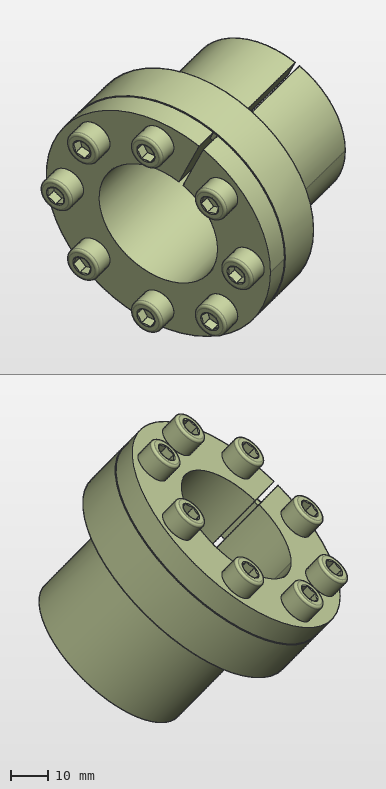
import cadquery as cq
import math

bore_diameter = 38.0
tube_diameter = 50.0
flange_diameter = 72.0
flange_thickness = 7.0
collar_thickness = 14.0
tube_length = 31.5

collar_chamfer = 0.2

slit_width = 1.44
slit_angle = 67.5
collar_rim_thickness = 3.0

screw_count = 8
screw_circle_diameter = 58.0
head_diameter = 10.0
head_height = 6.0
head_fillet = 0.8
socket_across_flats = 5.0
socket_depth = 3.0
socket_mouth_diameter = 5.8
lead_in_angle = 60.0

collar_rear = flange_thickness + collar_thickness
bush_length = collar_rear + tube_length
slit_reach_in_collar = flange_diameter / 2 - collar_rim_thickness


def ring(outer_diameter, inner_diameter, start, length):
    """Ring about the Y axis, from Y = start towards +Y."""
    plane = cq.Workplane("XZ", origin=(0, start, 0))
    return plane.circle(outer_diameter / 2).circle(inner_diameter / 2).extrude(-length)


def slit_cutter(reach, start, length):
    """Radial slab from the axis out to the given reach, at the slit angle."""
    slab = cq.Workplane("XY").box(reach, length, slit_width, centered=(False, False, True))
    return slab.translate((0, start, 0)).rotate((0, 0, 0), (0, 1, 0), -slit_angle)


def make_bush():
    collar = ring(flange_diameter, bore_diameter, flange_thickness, collar_thickness)
    outer_edges = cq.selectors.RadiusNthSelector(-1)
    collar = collar.faces("<Y or >Y").edges(outer_edges).chamfer(collar_chamfer)

    body = ring(flange_diameter, bore_diameter, 0, flange_thickness)
    body = body.union(collar)
    body = body.union(ring(tube_diameter, bore_diameter, collar_rear, tube_length))

    body = body.cut(slit_cutter(slit_reach_in_collar, 0, bush_length))
    return body.cut(slit_cutter(flange_diameter, 0, flange_thickness))


def make_screw():
    """Screw head at the top of the screw circle, seated on the flange face."""
    head = cq.Workplane("XZ").circle(head_diameter / 2).extrude(head_height)
    head = head.faces("<Y").edges().fillet(head_fillet)

    socket_corners = socket_across_flats / math.cos(math.pi / 6)
    front = cq.Workplane("XZ", origin=(0, -head_height, 0))
    socket = front.polygon(6, socket_corners).extrude(-socket_depth)

    lead_in_width = (socket_mouth_diameter - socket_across_flats) / 2
    lead_in_depth = lead_in_width / math.tan(math.radians(lead_in_angle))
    lead_in = front.circle(socket_mouth_diameter / 2).extrude(-lead_in_depth, taper=lead_in_angle)

    screw = head.cut(socket).cut(lead_in)
    return screw.translate((0, 0, screw_circle_diameter / 2))


bush = make_bush()
top_screw = make_screw()
screws = []
for i in range(screw_count):
    screws.append(top_screw.rotate((0, 0, 0), (0, 1, 0), i * 360 / screw_count))

result = cq.Compound.makeCompound([bush.val(), *[screw.val() for screw in screws]])